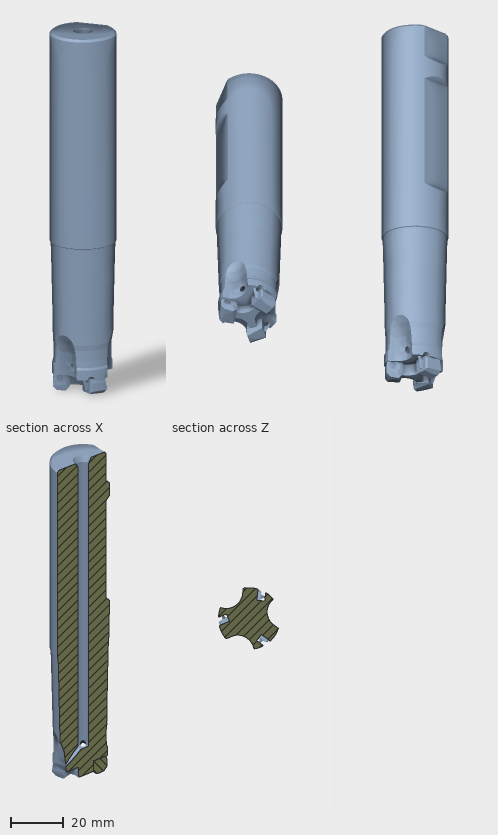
import cadquery as cq
import math

LENGTH = 141.9
TEETH = 3
PITCH_ANGLE = 360.0 / TEETH

SHANK_RADIUS = 12.7
SHANK_BOTTOM = 58.7
SHANK_CHAMFER = 0.9
SHANK_STEP_HEIGHT = 0.3

FLAT_Y = 11.0
FLAT_DEPTH = SHANK_RADIUS - FLAT_Y
COLLAR_BOTTOM = 119.7
COLLAR_TOP = 129.0
FLAT_BOTTOM = 76.9

NECK_TOP_RADIUS = 12.3
NECK_BOTTOM = 21.5
NECK_BOTTOM_RADIUS = 11.5
HEAD_STEP_TOP = 20.3
HEAD_STEP_BOTTOM = 18.2
HEAD_RADIUS = 11.2
HEAD_FLARE_TOP = 13.9
HEAD_FLARE_BOTTOM = 11.4
HEAD_FLARE_RADIUS = 11.4
TOOTH_TOP = 10.5
TOOTH_RADIUS = 11.8
SEAT_Z = 6.5
LUG_RADIUS = 10.5
LUG_BOTTOM_RADIUS = 9.4
LUG_BOTTOM = 2.0

BORE_RADIUS = 2.48
CONE_RADIUS = 3.76
CONE_DEPTH = 2.3
BORE_BOTTOM = 14.2
BRANCH_RADIUS = 1.2
BRANCH_OUTLET = cq.Vector(-1.4, -10.0, 8.2)

CORNER_RADIUS = 12.0
CORNER_ANGLE = 219.0
FACE_ANGLE = 23.4

INSERT_DEPTH = 6.8
INSERT_WIDTH = 6.5
INSERT_TIP_X = 4.7
INSERT_BACK_RELIEF = 0.5
INSERT_INNER_RELIEF = 0.9
INSERT_BACK_CHAMFER = 0.5
INSERT_TOP_BEVEL = 0.4
INSERT_TOP_BEVEL_Z = 5.0
INSERT_BOTTOM_RELIEF = 0.9
FACE_BEVEL = 0.4
FACE_BEVEL_TOP = 2.4
CORNER_CUT_WIDTH = 1.4
CORNER_CUT_TOP = 1.8
CORNER_CUT_BOTTOM = 0.4
FACE_LEDGE_Z = 3.5
FACE_LEDGE_DEPTH = 0.4
DIMPLE_RADIUS = 1.3
DIMPLE_X = 2.5
DIMPLE_Z = 5.1
DIMPLE_DEPTH = 0.4

RELIEF_RADIUS = 1.4
RELIEF_START_X = -2.1
RELIEF_LENGTH = 6.4

FLUTE_LAND_END = 3.5
FLUTE_FLOOR = (8.2, -2.8)
FLUTE_EDGE = (8.8, -8.2)
FLUTE_OUTSIDE = (10.0, -12.8)
FLUTE_CLEARANCE = 5.7
FLUTE_BEND_Z = 16.2
FLUTE_DRIFT = 1.4
FLUTE_RAMP_Z = 20.6
FLUTE_RAMP_DRIFT = 2.7
FLUTE_TOP = 24.7
FLUTE_RUNOUT = 6.4
FLUTE_DIRECTION = 227.0
GASH_FLOOR = (8.2, 2.0)


def in_seat(shape):
    """Move a shape from the seat frame to the first tooth."""
    angle = math.radians(CORNER_ANGLE)
    corner = (CORNER_RADIUS * math.cos(angle), CORNER_RADIUS * math.sin(angle), 0)
    return shape.rotate((0, 0, 0), (0, 0, 1), FACE_ANGLE).translate(corner)


def at_tooth(shape, index):
    """Turn a shape of the first tooth to the tooth with the given index."""
    return shape.rotate((0, 0, 0), (0, 0, 1), index * PITCH_ANGLE)


def make_blank():
    """Turned outline of the shank, neck and head."""
    profile = [
        (0, LENGTH),
        (SHANK_RADIUS, LENGTH),
        (SHANK_RADIUS, SHANK_BOTTOM + SHANK_STEP_HEIGHT),
        (NECK_TOP_RADIUS, SHANK_BOTTOM),
        (NECK_BOTTOM_RADIUS, NECK_BOTTOM),
        (NECK_BOTTOM_RADIUS, HEAD_STEP_TOP),
        (HEAD_RADIUS, HEAD_STEP_BOTTOM),
        (HEAD_RADIUS, HEAD_FLARE_TOP),
        (HEAD_FLARE_RADIUS, HEAD_FLARE_BOTTOM),
        (TOOTH_RADIUS, TOOTH_TOP),
        (TOOTH_RADIUS, SEAT_Z),
        (LUG_RADIUS, SEAT_Z),
        (LUG_BOTTOM_RADIUS, LUG_BOTTOM),
        (0, LUG_BOTTOM),
    ]
    return cq.Workplane("XZ").polyline(profile).close().revolve(360, (0, 0), (0, 1))


def flat_cutter(bottom, top, slope_top):
    """Cutter for one stretch of the flat, with 45 degree end slopes."""
    top_run = FLAT_DEPTH if slope_top else 0
    profile = [
        (FLAT_Y, bottom),
        (SHANK_RADIUS, bottom - FLAT_DEPTH),
        (SHANK_RADIUS, top + top_run),
        (FLAT_Y, top),
    ]
    return cq.Workplane("YZ").polyline(profile).close().extrude(SHANK_RADIUS, both=True)


def make_bore():
    """Axial coolant bore with a centring cone at the shank end."""
    profile = [
        (0, LENGTH),
        (CONE_RADIUS, LENGTH),
        (BORE_RADIUS, LENGTH - CONE_DEPTH),
        (BORE_RADIUS, BORE_BOTTOM),
        (0, BORE_BOTTOM),
    ]
    return cq.Workplane("XZ").polyline(profile).close().revolve(360, (0, 0), (0, 1))


def make_branch():
    """Slanted coolant hole from the bore to the first flute."""
    start = cq.Vector(0, 0, BORE_BOTTOM + BORE_RADIUS)
    run = BRANCH_OUTLET - start
    return cq.Workplane(cq.Solid.makeCylinder(BRANCH_RADIUS, run.Length, start, run))


def flute_section(z, drift, floor):
    """Closed flute section at height z: flat land, round floor and open outer side."""
    angle = math.radians(FLUTE_DIRECTION)
    return (
        cq.Workplane("XY", origin=(drift * math.cos(angle), drift * math.sin(angle), z))
        .moveTo(-FLUTE_CLEARANCE, 0)
        .lineTo(FLUTE_LAND_END, 0)
        .threePointArc(floor, FLUTE_EDGE)
        .lineTo(*FLUTE_OUTSIDE)
        .lineTo(-FLUTE_CLEARANCE, FLUTE_OUTSIDE[1])
        .close()
        .val()
    )


def make_flute():
    """Flute of the first tooth: nearly upright below, curving out to the surface above."""
    sections = [
        flute_section(0, 0, FLUTE_FLOOR),
        flute_section(FLUTE_BEND_Z, FLUTE_DRIFT, FLUTE_FLOOR),
        flute_section(FLUTE_RAMP_Z, FLUTE_RAMP_DRIFT, FLUTE_FLOOR),
        flute_section(FLUTE_TOP, FLUTE_RUNOUT, FLUTE_FLOOR),
    ]
    lower = cq.Solid.makeLoft(sections[:2], True)
    upper = cq.Solid.makeLoft(sections[1:], False)
    gash_face = cq.Face.makeFromWires(flute_section(0, 0, GASH_FLOOR))
    gash = cq.Solid.extrudeLinear(gash_face, cq.Vector(0, 0, SEAT_Z))
    return in_seat(cq.Workplane(lower).union(cq.Workplane(upper)).union(cq.Workplane(gash)))


def make_insert_block():
    """Insert outline with a plain face, without its bevel, ledge and dimple."""
    plan = [
        (0, 0),
        (INSERT_TIP_X, 0),
        (INSERT_WIDTH, INSERT_INNER_RELIEF),
        (INSERT_WIDTH, INSERT_DEPTH),
        (INSERT_BACK_RELIEF + INSERT_BACK_CHAMFER, INSERT_DEPTH),
        (INSERT_BACK_RELIEF, INSERT_DEPTH - INSERT_BACK_CHAMFER),
    ]
    edge = [
        (INSERT_TOP_BEVEL, SEAT_Z),
        (0, INSERT_TOP_BEVEL_Z),
        (0, CORNER_CUT_TOP),
        (CORNER_CUT_WIDTH, CORNER_CUT_BOTTOM),
        (INSERT_TIP_X, 0),
        (INSERT_WIDTH, CORNER_CUT_TOP),
        (INSERT_WIDTH, SEAT_Z),
    ]
    column = cq.Workplane("XY").polyline(plan).close().extrude(SEAT_Z)
    side = [
        (0, 0),
        (FACE_BEVEL, 0),
        (INSERT_DEPTH, INSERT_BOTTOM_RELIEF),
        (INSERT_DEPTH, SEAT_Z),
        (0, SEAT_Z),
    ]
    edge_face = cq.Face.makeFromWires(cq.Workplane("XZ").polyline(edge).close().val())
    flank_run = cq.Vector(INSERT_BACK_RELIEF, INSERT_DEPTH, 0)
    block = column.intersect(cq.Workplane(cq.Solid.extrudeLinear(edge_face, flank_run)))
    return block.intersect(cq.Workplane("YZ").polyline(side).close().extrude(INSERT_WIDTH))


def make_insert():
    """Insert of the first tooth, its face bevelled below and set back above, with a dimple."""
    bevel_profile = [(0, 0), (FACE_BEVEL, 0), (0, FACE_BEVEL_TOP)]
    bevel = cq.Workplane("YZ").polyline(bevel_profile).close().extrude(INSERT_WIDTH)
    ledge_height = SEAT_Z - FACE_LEDGE_Z
    ledge = (
        cq.Workplane("XY", origin=(0, 0, FACE_LEDGE_Z))
        .box(INSERT_WIDTH, FACE_LEDGE_DEPTH, ledge_height, centered=False)
    )
    dimple = (
        cq.Workplane("XZ")
        .center(DIMPLE_X, DIMPLE_Z)
        .circle(DIMPLE_RADIUS)
        .extrude(-(FACE_LEDGE_DEPTH + DIMPLE_DEPTH))
    )
    return in_seat(make_insert_block().cut(bevel).cut(ledge).cut(dimple))


def make_seat():
    """Seat cutter of the first tooth, matching the insert behind its face."""
    return in_seat(make_insert_block())


def make_relief():
    """Relief hole along the upper back corner of the first seat."""
    hole = (
        cq.Workplane("YZ", origin=(RELIEF_START_X, 0, 0))
        .center(INSERT_DEPTH, SEAT_Z)
        .circle(RELIEF_RADIUS)
        .extrude(RELIEF_LENGTH)
    )
    return in_seat(hole)


def make_holder():
    """Shank and toothed head in one piece, with the insert seats cut out."""
    holder = make_blank()
    holder = holder.cut(flat_cutter(COLLAR_TOP, LENGTH, False))
    holder = holder.faces(">Z").edges().chamfer(SHANK_CHAMFER)
    holder = holder.cut(flat_cutter(FLAT_BOTTOM, COLLAR_BOTTOM, True))
    holder = holder.cut(make_bore())
    for cutter in (make_flute(), make_seat(), make_relief(), make_branch()):
        for index in range(TEETH):
            holder = holder.cut(at_tooth(cutter, index))
    return holder


holder = make_holder()
inserts = [at_tooth(make_insert(), index) for index in range(TEETH)]

result = cq.Compound.makeCompound([holder.val(), *[insert.val() for insert in inserts]])